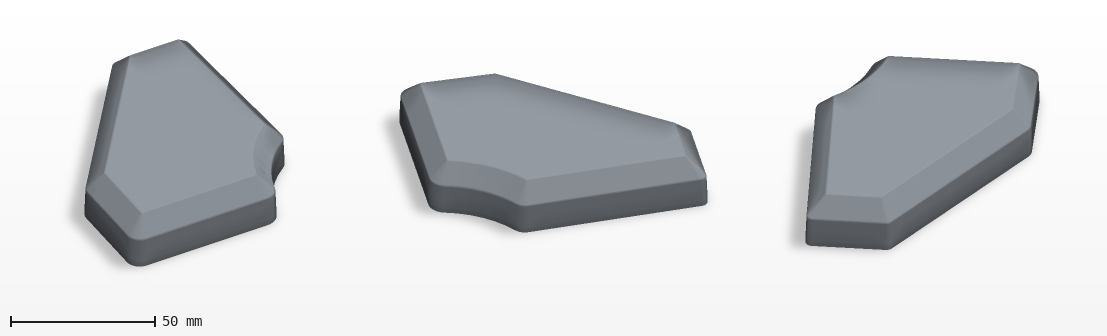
import cadquery as cq
import math

LENGTH = 95.18
HEIGHT = 17.78
LEFT_EDGE_BOTTOM = 44.1
LEFT_EDGE_TOP = 73.43
FRONT_EDGE_START = 59.5
BACK_EDGE_ANGLE = 2.25
SCOOP_RADIUS = 39.0
SCOOP_CENTER_X = 100.5
SCOOP_CENTER_Y = 96.6

FOOT_HEIGHT = 2.0
WALL_TOP = 11.27
DRAFT_INSET = 0.35
BEVEL_INSET = HEIGHT - WALL_TOP

LARGE_CORNER_RADIUS = 5.0
SCOOP_CORNER_RADIUS = 6.0
SMALL_CORNER_RADIUS = 2.5
TOP_CORNER_RADIUS = 0.4
SHOULDER_RADIUS = 0.8
TOP_EDGE_RADIUS = 0.95

HEIGHT_TOLERANCE = 0.01


def round_corners(wire, corners, radii):
    """Round each listed corner of a flat wire with its own radius."""
    for corner, radius in zip(corners, radii):
        point = cq.Vector(*corner)
        vertex = min(wire.Vertices(), key=lambda v: (v.Center() - point).Length)
        wire = wire.fillet2D(radius, [vertex])
    return wire


def outline(inset, radii):
    """Wire of the part outline moved inwards by inset.

    radii holds the corner radii counter-clockwise, starting where the sloping
    edge meets the front edge.
    """
    slope_angle = math.atan2(LEFT_EDGE_BOTTOM, FRONT_EDGE_START)
    back_angle = math.radians(BACK_EDGE_ANGLE)
    left = inset
    front = inset
    right = LENGTH - inset
    scoop_radius = SCOOP_RADIUS + inset

    slope_height = LEFT_EDGE_BOTTOM + inset / math.cos(slope_angle)
    slope_front = (slope_height - front) / math.tan(slope_angle)
    slope_left = slope_height - left * math.tan(slope_angle)

    back_height = LEFT_EDGE_TOP - inset / math.cos(back_angle)
    back_left = back_height + left * math.tan(back_angle)

    scoop_right = SCOOP_CENTER_Y - math.sqrt(scoop_radius**2 - (SCOOP_CENTER_X - right) ** 2)

    height_at_center = back_height + SCOOP_CENTER_X * math.tan(back_angle)
    normal = (SCOOP_CENTER_Y - height_at_center) * math.cos(back_angle)
    along = math.sqrt(scoop_radius**2 - normal**2)
    peak_x = SCOOP_CENTER_X + normal * math.sin(back_angle) - along * math.cos(back_angle)
    peak_y = SCOOP_CENTER_Y - normal * math.cos(back_angle) - along * math.sin(back_angle)

    right_direction = math.atan2(scoop_right - SCOOP_CENTER_Y, right - SCOOP_CENTER_X)
    peak_direction = math.atan2(peak_y - SCOOP_CENTER_Y, peak_x - SCOOP_CENTER_X)
    middle_direction = (right_direction + peak_direction) / 2
    scoop_middle = (
        SCOOP_CENTER_X + scoop_radius * math.cos(middle_direction),
        SCOOP_CENTER_Y + scoop_radius * math.sin(middle_direction),
    )

    corners = [
        (slope_front, front),
        (right, front),
        (right, scoop_right),
        (peak_x, peak_y),
        (left, back_left),
        (left, slope_left),
    ]
    sharp_outline = (
        cq.Workplane("XY")
        .polyline(corners[:3])
        .threePointArc(scoop_middle, corners[3])
        .lineTo(*corners[4])
        .lineTo(*corners[5])
        .close()
        .val()
    )
    return round_corners(sharp_outline, corners, radii)


def layer(lower, lower_z, upper, upper_z):
    """Straight-sided solid between two outlines at their heights."""
    lower_wire = lower.translate(cq.Vector(0, 0, lower_z))
    upper_wire = upper.translate(cq.Vector(0, 0, upper_z))
    return cq.Workplane(cq.Solid.makeLoft([lower_wire, upper_wire], True))


def round_ring(body, height, radius):
    """Round the closed ring of edges lying at one height."""
    ring = [
        edge
        for edge in body.edges().vals()
        if all(abs(vertex.Z - height) < HEIGHT_TOLERANCE for vertex in edge.Vertices())
    ]
    return body.newObject(ring).fillet(radius)


base_radii = [
    LARGE_CORNER_RADIUS,
    LARGE_CORNER_RADIUS,
    SCOOP_CORNER_RADIUS,
    LARGE_CORNER_RADIUS,
    SMALL_CORNER_RADIUS,
    SMALL_CORNER_RADIUS,
]
top_radii = [TOP_CORNER_RADIUS] * len(base_radii)

base_outline = outline(0, base_radii)
shoulder_outline = outline(DRAFT_INSET, base_radii)
top_outline = outline(DRAFT_INSET + BEVEL_INSET, top_radii)

foot = layer(base_outline, 0, base_outline, FOOT_HEIGHT)
wall = layer(base_outline, FOOT_HEIGHT, shoulder_outline, WALL_TOP)
bevel = layer(shoulder_outline, WALL_TOP, top_outline, HEIGHT)

body = foot.union(wall).union(bevel)
body = round_ring(body, WALL_TOP, SHOULDER_RADIUS)
result = round_ring(body, HEIGHT, TOP_EDGE_RADIUS)